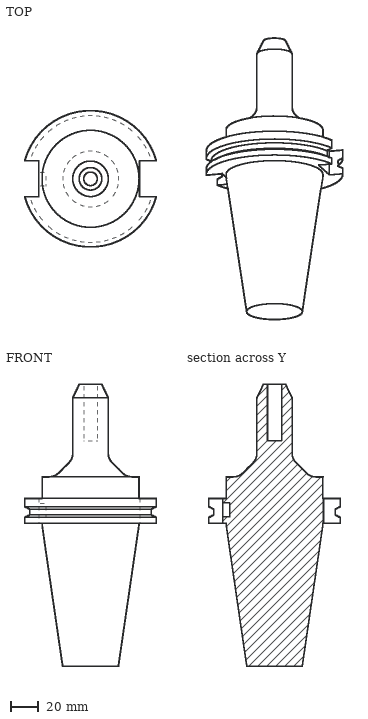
import cadquery as cq
import math

total_height = 203.2
taper_top = 101.5
flange_bottom = 103.0
flange_top = 121.0
collar_top = 136.5
shank_bottom = 153.6
nose_height = 9.8

taper_slope = 7 / 24 / 2
gauge_radius = 35.0
small_end_radius = gauge_radius - taper_slope * taper_top
collar_radius = gauge_radius
flange_radius = 49.2
shank_radius = 12.8
nose_radius = 8.1
bore_radius = 4.9
bore_depth = 40.6

groove_radius = 45.7
groove_floor_bottom = 109.1
groove_floor_top = 113.2
groove_flank_height = 1.8

blend_radius = 10.0
cone_angle = math.radians(45)

slot_width = 25.8
left_slot_floor = 37.4
right_slot_floor = 35.4
side_hole_radius = 4.9
side_hole_height = 112.8
side_hole_depth = 5.0


def blend_offset(angle):
    """Distances of a point on a blend from its start: across and along the start tangent."""
    return blend_radius * (1 - math.cos(angle)), blend_radius * math.sin(angle)


def make_body():
    """Revolve the taper, flange, collar, cone and shank as one profile."""
    across, along = blend_offset(cone_angle)
    mid_across, mid_along = blend_offset(cone_angle / 2)
    cone_top = (shank_radius + across, shank_bottom - along)
    cone_foot_height = collar_top + across
    cone_foot_radius = cone_top[0] + (cone_top[1] - cone_foot_height) / math.tan(cone_angle)
    foot_radius = cone_foot_radius + along
    profile = (
        cq.Workplane("XZ")
        .lineTo(small_end_radius, 0)
        .lineTo(gauge_radius, taper_top)
        .lineTo(gauge_radius, flange_bottom)
        .lineTo(flange_radius, flange_bottom)
        .lineTo(flange_radius, groove_floor_bottom - groove_flank_height)
        .lineTo(groove_radius, groove_floor_bottom)
        .lineTo(groove_radius, groove_floor_top)
        .lineTo(flange_radius, groove_floor_top + groove_flank_height)
        .lineTo(flange_radius, flange_top)
        .lineTo(collar_radius, flange_top)
        .lineTo(collar_radius, collar_top)
        .lineTo(foot_radius, collar_top)
        .threePointArc(
            (foot_radius - mid_along, collar_top + mid_across),
            (cone_foot_radius, cone_foot_height),
        )
        .lineTo(*cone_top)
        .threePointArc(
            (shank_radius + mid_across, shank_bottom - mid_along),
            (shank_radius, shank_bottom),
        )
        .lineTo(shank_radius, total_height - nose_height)
        .lineTo(nose_radius, total_height)
        .lineTo(0, total_height)
        .close()
    )
    return profile.revolve(360, (0, 0, 0), (0, 1, 0))


def make_slot(side, floor):
    """Drive slot through the flange on the -X (side = -1) or +X (side = 1) side."""
    depth = flange_radius - floor
    return (
        cq.Workplane("XY", origin=(side * (floor + depth / 2), 0, flange_bottom))
        .rect(depth, slot_width)
        .extrude(flange_top - flange_bottom)
    )


def make_bore():
    """Blind bore down the axis from the tip."""
    return cq.Workplane("XY", origin=(0, 0, total_height)).circle(bore_radius).extrude(-bore_depth)


def make_side_hole():
    """Blind radial hole in the floor of the -X slot."""
    return (
        cq.Workplane("YZ", origin=(-left_slot_floor, 0, side_hole_height))
        .circle(side_hole_radius)
        .extrude(side_hole_depth)
    )


result = (
    make_body()
    .cut(make_slot(-1, left_slot_floor))
    .cut(make_slot(1, right_slot_floor))
    .cut(make_bore())
    .cut(make_side_hole())
)